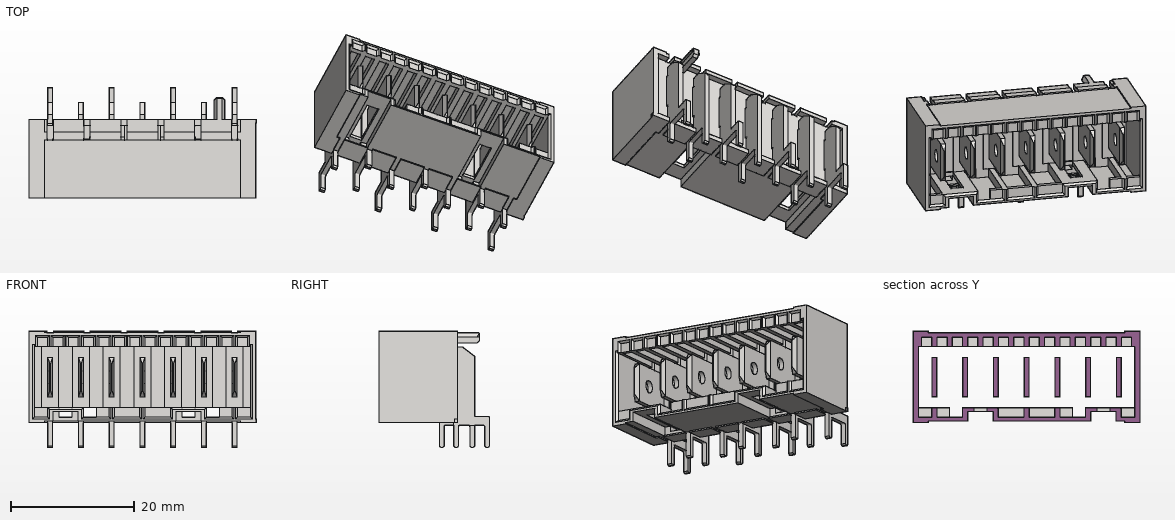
import cadquery as cq

body_width = 36.9
body_depth = 12.8
body_height = 14.85
side_wall = 0.9
floor_top = 0.9
cavity_ceiling = 13.85
lip = 0.35
wall_front = 10.0
wall_back = 11.8
half_inside = body_width / 2 - side_wall

relief = 0.22
relief_half_width = 15.95
bar_front = 9.45
bar_back = 10.75
gap_count = 6
gap_pitch = 6.0
gap_width = 1.0
gap_step = 0.37

pin_count = 7
pin_pitch = 5.0
pin_thickness = 0.8
pin_tip_y = 1.1
pin_shoulder = 0.95
pin_tip_flat = 0.15
blade_bottom = 4.18
blade_top = 10.6
blade_hole_diameter = 2.0
blade_hole_y = 5.1
plate_front = 12.15
plate_back = 15.58
plate_top = 12.3
plate_slope_y = 2.0
plate_slope_z = 1.5
crossbar_top = 1.0
crossbar_bottom = -0.45
leg_bottom = -4.07
leg_width = 0.8
leg_chamfer = 0.25
bend_radius = 0.22
foot_odd = (plate_front, 18.0)
foot_even = (9.8, plate_back)

rib_width = 0.9
sill_top = 2.45
panel_bottom = 12.32
panel_back = 1.05
pocket_pitch = pin_pitch / 2
pocket_count = 14
pin_pad_width = 2.78
pin_pad_front = 9.65
key_centres = (-2.5 * pin_pitch, 1.5 * pin_pitch)
key_half_outside = 2.92
key_half_inside = 2.05
key_roof = 1.78
window_width = 2.07
key_window_front = 2.7

peg_x = 12.5
peg_width = 1.78
peg_top_width = 0.8
peg_height = 1.7
peg_slope = 0.7
peg_stem_width = 0.92
peg_end = 16.35
peg_chamfer = 0.4
peg_top_chamfer = 0.2
lug_width = 0.1
lug_size = 0.55

pin_places = [(i - (pin_count - 1) / 2) * pin_pitch for i in range(pin_count)]


def block(x_span, y_span, z_span):
    """Box given by its limits along each axis."""
    size = [span[1] - span[0] for span in (x_span, y_span, z_span)]
    corner = (x_span[0], y_span[0], z_span[0])
    return cq.Workplane("XY").box(*size, centered=False).translate(corner)


def side_prism(points, x_span):
    """Outline in the YZ plane extruded along X."""
    width = x_span[1] - x_span[0]
    return cq.Workplane("YZ", origin=(x_span[0], 0, 0)).polyline(points).close().extrude(width)


def recess(x_span, z_span):
    """Shallow mouth recess whose four sides slope inward at 45 degrees."""
    (x_low, x_high), (z_low, z_high) = x_span, z_span
    centre = ((x_low + x_high) / 2, 0, (z_low + z_high) / 2)
    outline = cq.Workplane("XZ", origin=centre).rect(x_high - x_low, z_high - z_low)
    return outline.extrude(-lip, taper=45)


def pocket_spans():
    """Limits along X of the pockets below the roof."""
    first = -pocket_count / 2 * pocket_pitch + rib_width / 2
    lefts = [first + i * pocket_pitch for i in range(pocket_count)]
    return [(left, left + pocket_pitch - rib_width) for left in lefts]


def top_pockets():
    """Row of recesses below the roof, each with a pocket behind its panel."""
    tool = cq.Workplane("XY")
    for left, right in pocket_spans():
        tool = tool.add(recess((left - lip, right + lip), (panel_bottom - lip, cavity_ceiling + lip)))
        tool = tool.add(block((left, right), (panel_back, wall_front), (panel_bottom, cavity_ceiling)))
    return tool.combine()


def floor_bay(left, right, open_left):
    """Bay between two ribs: a mouth recess and a pocket behind the sill."""
    tool = recess((left - lip, right + lip), (floor_top - lip, sill_top + lip))
    tool = tool.union(block((left, right), (panel_back, wall_front), (floor_top, sill_top)))
    if open_left:
        doorway = (left, left + window_width)
        tool = tool.union(block(doorway, (0, body_depth), (floor_top, sill_top)))
    return tool


def key_tunnel(centre):
    """Tunnel under a raised part of the floor, with a window in its roof and at its end."""
    inside = (centre - key_half_inside, centre + key_half_inside)
    window = (centre - window_width / 2, centre + window_width / 2)
    outside = (centre - key_half_outside, centre + key_half_outside)
    lip_edge = [(0, sill_top - lip), (lip, sill_top), (0, sill_top)]
    tool = block(inside, (0, wall_front), (relief, key_roof))
    tool = tool.union(block(window, (key_window_front, pin_pad_front), (floor_top, sill_top)))
    tool = tool.union(block(window, (wall_front, body_depth), (floor_top, key_roof)))
    return tool.union(side_prism(lip_edge, outside))


def side_chamfer():
    """Sloped edge of the mouth along the right side wall."""
    points = [(half_inside, 0), (half_inside + lip, 0), (half_inside, lip)]
    height = panel_bottom + lip - floor_top
    return cq.Workplane("XY", origin=(0, 0, floor_top)).polyline(points).close().extrude(height)


def roof_relief():
    """Lowered roof in front of and behind the bar."""
    between_caps = (-relief_half_width, relief_half_width)
    top = (body_height - relief, body_height)
    tool = block(between_caps, (0, bar_front), top)
    return tool.union(block(between_caps, (bar_back, body_depth), top))


def roof_gaps():
    """Gaps through the bar and the back edge of the roof, deeper between the ribs."""
    upper = cq.Workplane("XY")
    step = (cavity_ceiling - gap_step, cavity_ceiling)
    lower = cq.Workplane("XY")
    for i in range(gap_count):
        x = (i - (gap_count - 1) / 2) * gap_pitch
        gap = (x - gap_width / 2, x + gap_width / 2)
        upper = upper.add(block(gap, (bar_front, body_depth), (cavity_ceiling, body_height)))
        if 0 < i < gap_count - 1:
            lower = lower.add(block(gap, (pin_pad_front, wall_back), step))
    between_ribs = cq.Workplane("XY")
    for span in pocket_spans():
        between_ribs = between_ribs.add(block(span, (0, body_depth), (0, body_height)))
    return upper.combine().union(lower.combine().intersect(between_ribs.combine()))


def underside_relief():
    """Raised front of the underside, and the slots that let the pin legs through."""
    underside = block((-relief_half_width, relief_half_width), (0, bar_front), (0, relief))
    for x in pin_places:
        slot = (x - pin_thickness / 2, x + pin_thickness / 2)
        underside = underside.union(block(slot, (bar_front, body_depth), (0, relief)))
    return underside


def housing():
    body = block((-body_width / 2, body_width / 2), (0, body_depth), (0, body_height))
    inside = (-half_inside, half_inside)
    body = body.cut(block(inside, (0, wall_front), (sill_top, panel_bottom)))
    body = body.cut(block(inside, (wall_back, body_depth), (floor_top, cavity_ceiling)))
    body = body.cut(top_pockets())

    stops = [(-half_inside, -half_inside)]
    stops += [(x - key_half_outside, x + key_half_outside) for x in key_centres]
    rib_places = (pin_places[2], pin_places[3], pin_places[6])
    stops += [(x - rib_width / 2, x + rib_width / 2) for x in rib_places]
    stops.append((half_inside, half_inside))
    stops.sort()
    key_ends = [x + key_half_outside for x in key_centres]
    for before, after in zip(stops, stops[1:]):
        body = body.cut(floor_bay(before[1], after[0], before[1] in key_ends))

    for x in pin_places:
        pad = (x - pin_pad_width / 2, x + pin_pad_width / 2)
        body = body.union(block(pad, (pin_pad_front, wall_back), (sill_top, cavity_ceiling)))
    for x in key_centres:
        body = body.cut(key_tunnel(x))

    body = body.cut(side_chamfer()).cut(side_chamfer().mirror("YZ"))
    return body.cut(roof_relief()).cut(roof_gaps()).cut(underside_relief())


def solder_foot(span, foot):
    """Crossbar carrying a solder leg at each end."""
    front, back = foot
    arch = block(span, foot, (leg_bottom, crossbar_top))
    arch = arch.edges("|X and >Y and >Z").fillet(bend_radius)
    opening = block(span, (front + leg_width, back - leg_width), (leg_bottom, crossbar_bottom))
    opening = opening.edges("|X and >Z").fillet(bend_radius)
    arch = arch.cut(opening)
    return arch.faces("<Z").edges("|X").chamfer(leg_chamfer)


def pin(x, foot):
    """Blade contact with a wedge tip, a cross hole and two solder legs."""
    span = (x - pin_thickness / 2, x + pin_thickness / 2)
    shoulder_y = pin_tip_y + pin_shoulder
    blade = block(span, (shoulder_y, plate_back), (blade_bottom, blade_top))
    blade_centre = (blade_bottom + blade_top) / 2
    blade_height = blade_top - blade_bottom
    tip = (
        cq.Workplane("XZ", origin=(x, shoulder_y, blade_centre))
        .rect(pin_thickness, blade_height)
        .workplane(offset=pin_shoulder)
        .rect(pin_tip_flat, blade_height - 2 * pin_shoulder)
        .loft(ruled=True)
    )
    hole = (
        cq.Workplane("YZ", origin=(x, blade_hole_y, blade_centre))
        .circle(blade_hole_diameter / 2)
        .extrude(pin_thickness, both=True)
    )
    plate = side_prism(
        [
            (plate_front, crossbar_bottom),
            (plate_back, crossbar_bottom),
            (plate_back, plate_top - plate_slope_z),
            (plate_back - plate_slope_y, plate_top),
            (plate_front, plate_top),
        ],
        span,
    )
    contact = blade.union(tip).cut(hole).union(plate)
    return contact.union(solder_foot(span, foot))


def locating_peg():
    """Peg on the back edge of the roof with sloped shoulders and a chamfered end."""
    top = body_height - relief
    section = [
        (-peg_stem_width / 2, top - peg_height),
        (peg_stem_width / 2, top - peg_height),
        (peg_stem_width / 2, top - peg_slope),
        (peg_width / 2, top - peg_slope),
        (peg_top_width / 2, top),
        (-peg_top_width / 2, top),
        (-peg_width / 2, top - peg_slope),
        (-peg_stem_width / 2, top - peg_slope),
    ]
    start = (peg_x, wall_back, 0)
    peg = cq.Workplane("XZ", origin=start).polyline(section).close().extrude(wall_back - peg_end)
    x_span = (peg_x - peg_width / 2, peg_x + peg_width / 2)
    envelope = block(x_span, (wall_back, peg_end), (top - peg_height, top))
    envelope = envelope.edges(">Y and |Z").chamfer(peg_chamfer)
    envelope = envelope.edges(">Y and <Z").chamfer(peg_chamfer)
    envelope = envelope.edges(">Y and >Z").chamfer(peg_top_chamfer)
    return peg.intersect(envelope)


def corner_lug():
    """Small lug low on the back right corner."""
    x_span = (body_width / 2, body_width / 2 + lug_width)
    return block(x_span, (body_depth - lug_size, body_depth), (0, lug_size))


result = housing().union(locating_peg()).union(corner_lug())
for index, place in enumerate(pin_places):
    result = result.union(pin(place, foot_even if index % 2 else foot_odd))